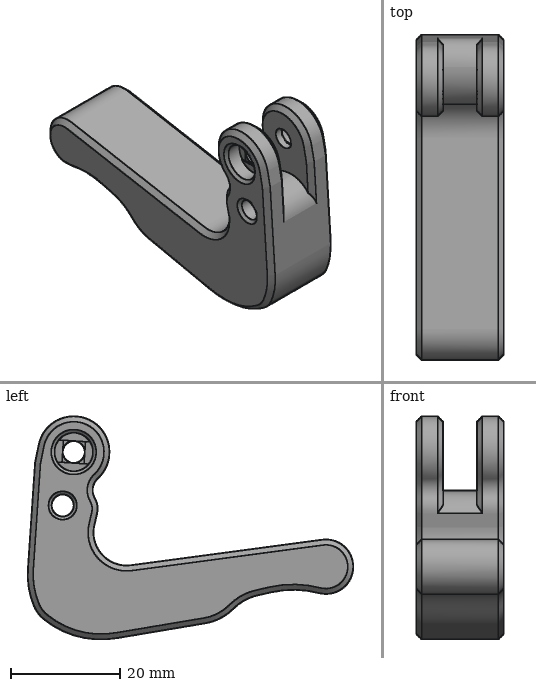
import cadquery as cq
import math


arm_width = 16.0
slot_width = 6.2
ear_width = (arm_width - slot_width) / 2
edge_chamfer = 1.0

pivot_radius = 6.55
tip_radius = 5.0
crook_radius = 6.0

hole_diameter = 4.0
counterbore_diameter = 7.0
counterbore_depth = 3.2
step_width = 4.05
step_depth = 0.1
hole_chamfer = 0.6

pin_forward = -2.0
pin_up = -9.75

shoulder = (-7.1, -1.95)
wall_foot = (-8.4, -21.4)
wall_lean = math.degrees(math.atan2(shoulder[0] - wall_foot[0], shoulder[1] - wall_foot[1]))

heel_start = (-7.25, -28.1)
heel_end = (-5.5, -30.5)
underside_start = (8.0, -33.95)
underside_end = (23.95, -31.3)
rise_middle = (29.15, -28.6)
rise_end = (33.9, -26.1)
grip_start = (36.0, -25.65)

tip_center = (46.05, -20.95)
grip_end_slope = 13.0
handle_slope = 7.5
crook_center = (9.65, -14.7)
crook_end_slope = 9.0

bump_start = (4.3, -11.2)
bump_end = (3.85, -8.45)
neck_angle = -47.0

floor_crest = (-2.45, -7.0)
floor_rear_radius = 5.4
slot_reach = 11.9


def on_circle(center, radius, degrees):
    """Point on a circle, at an angle measured from forward toward up."""
    angle = math.radians(degrees)
    return (center[0] + radius * math.cos(angle), center[1] + radius * math.sin(angle))


def side_plane(x=0.0):
    """Plane facing -X whose local axes are forward and up."""
    return cq.Workplane(cq.Plane(origin=(x, 0, 0), xDir=(0, -1, 0), normal=(-1, 0, 0)))


def chamfered_plate(x_center, width):
    """Plate with the full side outline, chamfered around both faces."""
    pivot_center = (0.0, 0.0)
    shoulder_angle = math.degrees(math.atan2(shoulder[1], shoulder[0]))
    tangent_angle = math.degrees(math.acos(pivot_radius / math.hypot(*shoulder)))
    rear_tangent = on_circle(pivot_center, pivot_radius, shoulder_angle - tangent_angle)
    neck_end = on_circle(pivot_center, pivot_radius, neck_angle)

    outline = (
        side_plane(x_center)
        .moveTo(*rear_tangent)
        .lineTo(*shoulder)
        .lineTo(*wall_foot)
        .tangentArcPoint(heel_start, relative=False)
        .tangentArcPoint(heel_end, relative=False)
        .tangentArcPoint(underside_start, relative=False)
        .lineTo(*underside_end)
        .tangentArcPoint(rise_middle, relative=False)
        .tangentArcPoint(rise_end, relative=False)
        .lineTo(*grip_start)
        .tangentArcPoint(on_circle(tip_center, tip_radius, -90 - grip_end_slope), relative=False)
        .threePointArc(
            on_circle(tip_center, tip_radius, 0),
            on_circle(tip_center, tip_radius, 90 + handle_slope),
        )
        .lineTo(*on_circle(crook_center, crook_radius, handle_slope - 90))
        .threePointArc(
            on_circle(crook_center, crook_radius, -135),
            on_circle(crook_center, crook_radius, 180 - crook_end_slope),
        )
        .lineTo(*bump_start)
        .tangentArcPoint(bump_end, relative=False)
        .tangentArcPoint(neck_end, relative=False)
        .threePointArc((0, pivot_radius), rear_tangent)
        .close()
    )
    plate = outline.extrude(width / 2, both=True)
    return plate.faces("<X or >X").chamfer(edge_chamfer)


def slot_space():
    """Everything above the slot floor, wide enough to include the inner ear chamfers."""
    rear_center = (floor_crest[0], floor_crest[1] - floor_rear_radius)
    floor_rear = on_circle(rear_center, floor_rear_radius, 180)
    return (
        side_plane()
        .moveTo(-slot_reach, slot_reach)
        .lineTo(-slot_reach, floor_rear[1])
        .lineTo(*floor_rear)
        .threePointArc(on_circle(rear_center, floor_rear_radius, 135), floor_crest)
        .tangentArcPoint(bump_start, relative=False)
        .lineTo(slot_reach, bump_start[1])
        .lineTo(slot_reach, slot_reach)
        .close()
        .extrude(slot_width / 2 + edge_chamfer, both=True)
    )


def countersunk_bore(diameter, depth):
    """Round bore from the -X face with a conical lead-in, centred on the pivot axis."""
    radius = diameter / 2
    face_x = -arm_width / 2
    return (
        cq.Workplane("XY")
        .moveTo(face_x, 0)
        .lineTo(face_x, radius + hole_chamfer)
        .lineTo(face_x + hole_chamfer, radius)
        .lineTo(face_x + depth, radius)
        .lineTo(face_x + depth, 0)
        .close()
        .revolve(360, (0, 0, 0), (1, 0, 0))
    )


def pivot_recess():
    """Counterbore in the -X ear, stepping down to the round hole through a slot and a square."""
    slot_depth = counterbore_depth + step_depth
    ledge_offset = (step_width + counterbore_diameter) / 2
    slot_bottom = side_plane(-arm_width / 2 + slot_depth).transformed(rotate=(0, 0, -wall_lean))

    ledges = (
        slot_bottom
        .pushPoints([(0, -ledge_offset), (0, ledge_offset)])
        .rect(2 * counterbore_diameter, counterbore_diameter)
        .extrude(step_depth)
    )
    square = slot_bottom.rect(step_width, step_width).extrude(step_depth, both=True)
    return countersunk_bore(counterbore_diameter, slot_depth).cut(ledges).union(square)


def cut_both_sides(body, tool):
    """Cut a tool on the -X side and its mirror image on the +X side."""
    return body.cut(tool).cut(tool.mirror("YZ"))


arm = chamfered_plate(0.0, arm_width)
ear_center = (slot_width + ear_width) / 2
slot = slot_space()
for side in (-1, 1):
    slot = slot.cut(chamfered_plate(side * ear_center, ear_width))
arm = arm.cut(slot)

pivot_hole = side_plane().circle(hole_diameter / 2).extrude(arm_width / 2, both=True)
arm = cut_both_sides(arm, pivot_recess()).cut(pivot_hole)

pin_bore = countersunk_bore(hole_diameter, arm_width / 2)
result = cut_both_sides(arm, pin_bore.translate((0, -pin_forward, pin_up)))